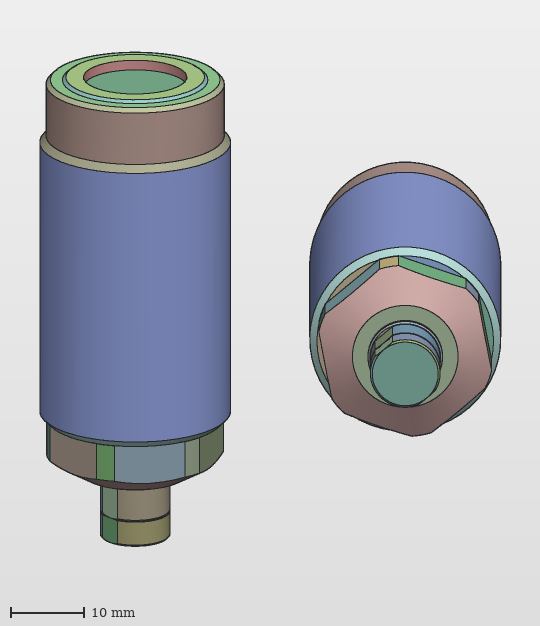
import cadquery as cq
import math

total_height = 66.05
stem_joint_z = 3.55
collar_bottom_z = 8.25
hex_bottom_z = 9.05
barrel_bottom_z = 17.0
barrel_shoulder_z = 56.7
crown_base_z = 65.65

barrel_radius = 13.0
barrel_chamfer = 1.0
neck_radius = 12.15
neck_bottom_z = barrel_shoulder_z + barrel_chamfer
neck_chamfer = 0.6
crown_base_radius = 9.9
crown_top_radius = 9.45
recess_diameter = 14.1
recess_depth = 1.4

hex_across_flats = 22.1
hex_corner_radius = 12.1
hex_end_radius = 7.2
hex_cone_angle = 30.0
collar_radius = 5.1

stem_diameter = 9.5
stem_across_flats = 9.0

small_chamfer = 0.25


def make_turned_section():
    """Barrel, neck and crown revolved about Z."""
    profile = [
        (0, barrel_bottom_z),
        (barrel_radius - barrel_chamfer, barrel_bottom_z),
        (barrel_radius, barrel_bottom_z + barrel_chamfer),
        (barrel_radius, barrel_shoulder_z),
        (neck_radius, neck_bottom_z),
        (neck_radius, crown_base_z - neck_chamfer),
        (neck_radius - neck_chamfer, crown_base_z),
        (crown_base_radius, crown_base_z),
        (crown_top_radius, total_height),
        (0, total_height),
    ]
    return cq.Workplane("XZ").polyline(profile).close().revolve(360, (0, 0), (0, 1))


def make_hex_end():
    """Hexagon with corners on X, trimmed to a cylinder with a conical lower end."""
    across_corners = hex_across_flats / math.cos(math.radians(30))
    prism = (
        cq.Workplane("XY")
        .workplane(offset=hex_bottom_z)
        .polygon(6, across_corners)
        .extrude(barrel_bottom_z - hex_bottom_z)
    )
    cone_height = (hex_corner_radius - hex_end_radius) * math.tan(math.radians(hex_cone_angle))
    envelope_profile = [
        (0, hex_bottom_z),
        (hex_end_radius, hex_bottom_z),
        (hex_corner_radius, hex_bottom_z + cone_height),
        (hex_corner_radius, barrel_bottom_z),
        (0, barrel_bottom_z),
    ]
    envelope = cq.Workplane("XZ").polyline(envelope_profile).close().revolve(360, (0, 0), (0, 1))
    return prism.intersect(envelope)


def make_collar():
    return (
        cq.Workplane("XY")
        .workplane(offset=collar_bottom_z)
        .circle(collar_radius)
        .extrude(hex_bottom_z - collar_bottom_z)
        .faces("<Z")
        .chamfer(small_chamfer)
    )


def make_housing():
    recess = (
        cq.Workplane("XY")
        .workplane(offset=total_height - recess_depth)
        .circle(recess_diameter / 2)
        .extrude(recess_depth)
    )
    return make_turned_section().union(make_hex_end()).union(make_collar()).cut(recess)


def make_stem_sleeve(bottom_z, top_z):
    """Sleeve with a chamfered lower rim and flats facing -Y and +Y."""
    height = top_z - bottom_z
    cylinder = (
        cq.Workplane("XY")
        .workplane(offset=bottom_z)
        .circle(stem_diameter / 2)
        .extrude(height)
        .faces("<Z")
        .chamfer(small_chamfer)
    )
    flats = (
        cq.Workplane("XY")
        .workplane(offset=bottom_z)
        .rect(stem_diameter, stem_across_flats)
        .extrude(height)
    )
    return cylinder.intersect(flats)


housing = make_housing()
stem_levels = [0, stem_joint_z, collar_bottom_z]
stem_sleeves = [
    make_stem_sleeve(bottom_z, top_z)
    for bottom_z, top_z in zip(stem_levels, stem_levels[1:])
]

result = cq.Compound.makeCompound([housing.val(), *[sleeve.val() for sleeve in stem_sleeves]])